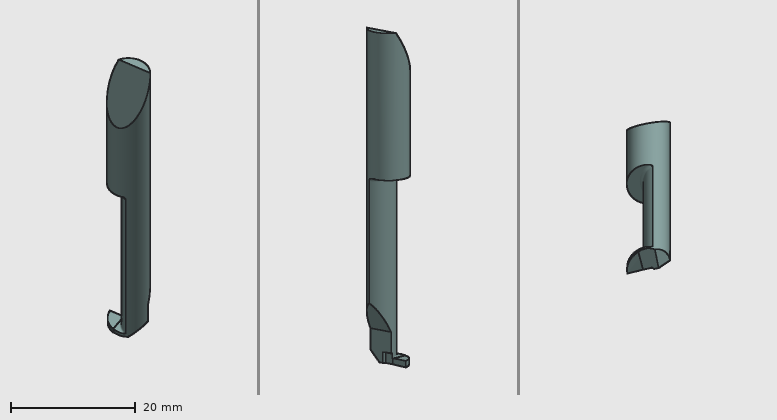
import cadquery as cq
import math

length = 55.5
bar_radius = 3.5
bar_diameter = 2 * bar_radius
margin = 1.1
bevel_angle = 60.0
bevel_slope = math.tan(math.radians(bevel_angle))

top_bevel_y = 1.85

neck_radius = 3.4
neck_left_x = -0.8
neck_center_x = neck_left_x + neck_radius
shoulder_z = 31.2
shoulder_fillet = 0.55
foot_top_z = 1.0
foot_fillet = 0.3

flat_y = 0.305
flat_top_z = 5.5

foot_bottom_z = 0.1
foot_bottom_rise = 0.2
chamfer = 2.0
relief_end_x = 0.55
rake_recess_top_z = 1.95
rake_recess_right_x = 0.55
rake_recess_ramp_x = 0.9

tip_joint_x = -0.9
tip_height = 1.1
tip_land = 0.45
tip_land_relief = 0.05
tip_side_relief = 0.15
relief_radius = 3.35


def circle_y(x, radius):
    """Y on the -Y half of a circle about the bar axis."""
    return -math.sqrt(radius**2 - x**2)


def yz_prism(points, x_start, x_end):
    """Prism along X with a profile of (y, z) points."""
    return cq.Workplane("YZ", origin=(x_start, 0, 0)).polyline(points).close().extrude(x_end - x_start)


def full_width_cut(points):
    return yz_prism(points, -bar_diameter, bar_diameter)


def relief_outline(workplane):
    """Hook outline: rake face at y = 0, short land, then the relieved rim."""
    land_end = (-bar_radius + tip_land_relief, -tip_land)
    middle_angle = math.radians(225)
    rim_middle = (relief_radius * math.cos(middle_angle), relief_radius * math.sin(middle_angle))
    return (
        workplane.moveTo(-bar_radius, 0)
        .lineTo(*land_end)
        .threePointArc(rim_middle, (relief_end_x, circle_y(relief_end_x, bar_radius)))
        .lineTo(relief_end_x, 0)
        .close()
    )


def top_bevel():
    outer_y = -bar_radius - margin
    drop = (top_bevel_y - outer_y) * bevel_slope
    return full_width_cut([(top_bevel_y, length), (outer_y, length), (outer_y, length - drop)])


def neck_waste():
    """Material around the neck; its rounded inner edges leave the neck fillets."""
    height = shoulder_z - foot_top_z
    base = cq.Workplane("XY", origin=(0, 0, foot_top_z))
    block = base.rect(4 * bar_diameter, 4 * bar_diameter).extrude(height)
    neck = base.center(neck_center_x, 0).circle(neck_radius).extrude(height)
    waste = block.cut(neck)
    waste = waste.faces(">Z").edges("%CIRCLE").fillet(shoulder_fillet)
    return waste.faces("<Z").edges("%CIRCLE").fillet(foot_fillet)


def neck_flat():
    outer_y = bar_radius + margin
    rise = (outer_y - flat_y) * bevel_slope
    return full_width_cut([
        (flat_y, -margin),
        (flat_y, flat_top_z),
        (outer_y, flat_top_z + rise),
        (outer_y, -margin),
    ])


def foot_clearance():
    """Waste under the bottom face, which rises towards -Y."""
    return full_width_cut([
        (bar_radius, foot_bottom_z),
        (0, foot_bottom_z),
        (-bar_radius, foot_bottom_z + foot_bottom_rise),
        (-bar_radius, -margin),
        (bar_radius, -margin),
    ])


def corner_chamfer():
    return (
        cq.Workplane("XZ")
        .polyline([(bar_radius - chamfer, 0), (bar_radius, chamfer), (bar_radius, 0)])
        .close()
        .extrude(bar_radius, both=True)
    )


def rim_relief_waste():
    """Bar material outside the relieved rim of the hook."""
    block = cq.Workplane("XY").box(
        bar_radius + relief_end_x, bar_radius, foot_top_z, centered=False
    ).translate((-bar_radius, -bar_radius, 0))
    return block.cut(relief_outline(cq.Workplane("XY")).extrude(foot_top_z))


def rake_recess():
    """Shallow recess level with the rake face, ramping up to the flat."""
    return (
        cq.Workplane("XY")
        .polyline([
            (-bar_radius, 0),
            (rake_recess_right_x, 0),
            (rake_recess_ramp_x, flat_y),
            (-bar_radius, flat_y),
        ])
        .close()
        .extrude(rake_recess_top_z)
    )


def tip_joint():
    """Everything on the hook side of the joint face, up to the top of the rake recess."""
    return (
        cq.Workplane("XY")
        .box(bar_radius + tip_joint_x, bar_diameter, rake_recess_top_z, centered=(False, True, False))
        .translate((-bar_radius, 0, 0))
    )


def make_shank():
    shank = cq.Workplane("XY").circle(bar_radius).extrude(length)
    cutters = (
        top_bevel(), neck_waste(), neck_flat(), foot_clearance(),
        corner_chamfer(), rim_relief_waste(), rake_recess(), tip_joint(),
    )
    for cutter in cutters:
        shank = shank.cut(cutter)
    return shank


def tip_end_clearance():
    """Wedge under the tip, whose bottom face rises from the corner to the joint."""
    return (
        cq.Workplane("XZ")
        .polyline([(-bar_radius, 0), (tip_joint_x, foot_bottom_z), (tip_joint_x, 0)])
        .close()
        .extrude(bar_radius)
    )


def make_cutting_tip():
    """Crescent tip that narrows on both sides behind its rake face."""
    crescent = relief_outline(cq.Workplane("XY")).extrude(tip_height)
    side_profile = yz_prism(
        [
            (0, 0),
            (0, tip_height),
            (-bar_radius, tip_height - tip_side_relief),
            (-bar_radius, tip_side_relief),
        ],
        -bar_radius,
        tip_joint_x,
    )
    return crescent.intersect(side_profile).cut(tip_end_clearance())


shank = make_shank()
cutting_tip = make_cutting_tip()
result = cq.Compound.makeCompound([shank.solids().val(), cutting_tip.solids().val()])